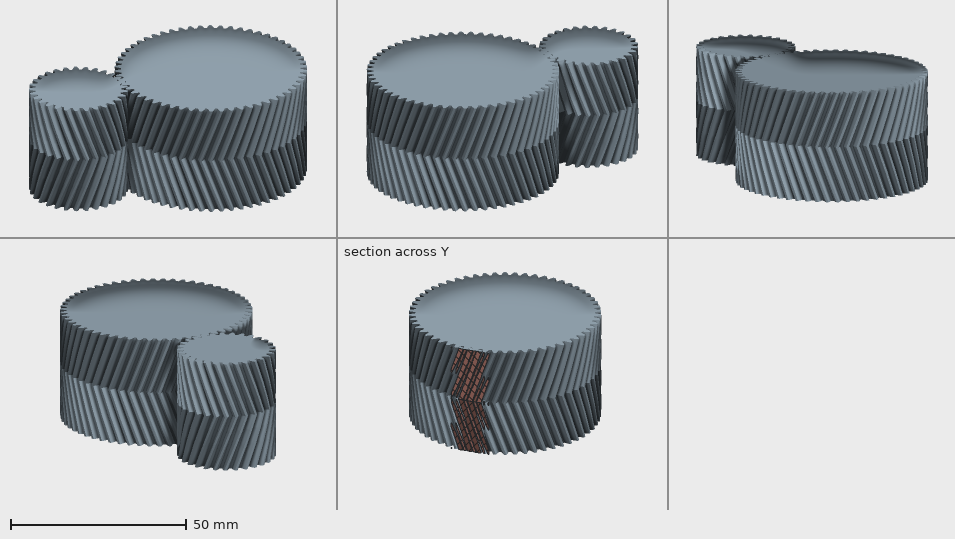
import cadquery as cq
import math

OVERALL_LENGTH = 81.6
HALF_HEIGHT = 16.0
WHEEL_TEETH = 58
PINION_TEETH = 29
HELIX_ANGLE = math.radians(20.3)
PRESSURE_ANGLE = math.radians(21.9)
ADDENDUM_FACTOR = 0.97
DEDENDUM_FACTOR = 1.2
FLANK_CLEARANCE = 0.01
FLANK_POINTS = 7

transverse_module = OVERALL_LENGTH / (
    WHEEL_TEETH + PINION_TEETH + 2 * ADDENDUM_FACTOR * math.cos(HELIX_ANGLE)
)
normal_module = transverse_module * math.cos(HELIX_ANGLE)
centre_distance = transverse_module * (WHEEL_TEETH + PINION_TEETH) / 2


def polar(radius, angle):
    return (radius * math.cos(angle), radius * math.sin(angle))


def involute(angle):
    return math.tan(angle) - angle


def gear_outline(teeth, first_tooth_angle):
    """Closed transverse outline of a gear, with one tooth centred on first_tooth_angle."""
    pitch_radius = transverse_module * teeth / 2
    base_radius = pitch_radius * math.cos(PRESSURE_ANGLE)
    tip_radius = pitch_radius + ADDENDUM_FACTOR * normal_module
    root_radius = pitch_radius - DEDENDUM_FACTOR * normal_module
    flank_start_radius = max(base_radius, root_radius)
    pitch_angle = 2 * math.pi / teeth

    pitch_half_angle = pitch_angle / 4 - FLANK_CLEARANCE / pitch_radius

    def half_tooth_angle(radius):
        local_pressure_angle = math.acos(base_radius / radius)
        return pitch_half_angle + involute(PRESSURE_ANGLE) - involute(local_pressure_angle)

    flank_step = (tip_radius - flank_start_radius) / (FLANK_POINTS - 1)
    flank_radii = [flank_start_radius + flank_step * i for i in range(FLANK_POINTS)]
    root_half_angle = half_tooth_angle(flank_start_radius)

    outline = cq.Workplane("XY").moveTo(*polar(root_radius, first_tooth_angle - root_half_angle))
    for tooth in range(teeth):
        tooth_angle = first_tooth_angle + tooth * pitch_angle
        rising_flank = [polar(r, tooth_angle - half_tooth_angle(r)) for r in flank_radii]
        falling_flank = [polar(r, tooth_angle + half_tooth_angle(r)) for r in reversed(flank_radii)]
        if root_radius < base_radius:
            outline = outline.lineTo(*rising_flank[0])
        outline = outline.spline(rising_flank[1:], includeCurrent=True)
        outline = outline.threePointArc(polar(tip_radius, tooth_angle), falling_flank[0])
        outline = outline.spline(falling_flank[1:], includeCurrent=True)
        if root_radius < base_radius:
            outline = outline.lineTo(*polar(root_radius, tooth_angle + root_half_angle))
        gap_angle = tooth_angle + pitch_angle / 2
        gap_end = polar(root_radius, tooth_angle + pitch_angle - root_half_angle)
        outline = outline.threePointArc(polar(root_radius, gap_angle), gap_end)
    return outline.close()


def helical_half(teeth, first_tooth_angle, hand):
    """Lower half of a gear on the Z axis; hand is +1 if the teeth turn anticlockwise going up."""
    pitch_radius = transverse_module * teeth / 2
    twist = hand * math.degrees(HALF_HEIGHT * math.tan(HELIX_ANGLE) / pitch_radius)
    return gear_outline(teeth, first_tooth_angle).twistExtrude(HALF_HEIGHT, twist)


def upper_half(lower_half):
    """Mirror image of a lower half, sitting on top of it."""
    return lower_half.mirror("XY", (0, 0, HALF_HEIGHT))


toward_pinion = -math.pi / 2
wheel_lower = helical_half(WHEEL_TEETH, toward_pinion + math.pi / WHEEL_TEETH, -1)
wheel_upper = upper_half(wheel_lower)

toward_wheel = math.pi / 2
pinion_lower = helical_half(PINION_TEETH, toward_wheel, 1).translate((0, -centre_distance, 0))
pinion_upper = upper_half(pinion_lower)

result = cq.Compound.makeCompound(
    [wheel_lower.val(), wheel_upper.val(), pinion_lower.val(), pinion_upper.val()]
)